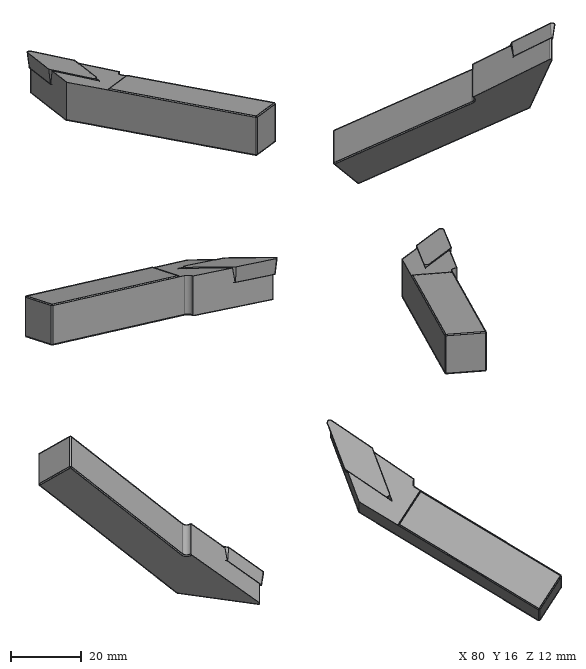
import cadquery as cq
import math

LENGTH = 80.0
SHANK_WIDTH = 12.0
HEIGHT = 12.0
EDGE_CHAMFER = 0.3
HEAD_DROP = EDGE_CHAMFER
RAMP_START = 32.9
LIP_X = 29.7
LIP_FILLET = 1.6
HOLDER_NOSE_RADIUS = 0.4
HEAD_INSET = 0.6

INSCRIBED_DIAMETER = 9.5
INSERT_THICKNESS = 4.7
INSERT_NOSE_RADIUS = 0.8
INSERT_TIP_Y = 16.0
CLEARANCE_ANGLE = 7.0
SIDE_ANGLE = 3.0
POINT_ANGLE = 35.0

FLOOR_Z = HEIGHT - INSERT_THICKNESS
CLEARANCE_INSET = INSERT_THICKNESS * math.tan(math.radians(CLEARANCE_ANGLE))
HALF_POINT = math.radians(POINT_ANGLE / 2)
LEADING_ANGLE = math.radians(SIDE_ANGLE + POINT_ANGLE)
AXIS_ANGLE = math.radians(SIDE_ANGLE) + HALF_POINT

HALF_SHORT_DIAGONAL = INSCRIBED_DIAMETER / 2 / math.cos(HALF_POINT)
HALF_LONG_DIAGONAL = INSCRIBED_DIAMETER / 2 / math.sin(HALF_POINT)
NOSE_TO_CENTRE = HALF_LONG_DIAGONAL - INSERT_NOSE_RADIUS / math.sin(HALF_POINT)
CENTRE_X = INSERT_NOSE_RADIUS + NOSE_TO_CENTRE * math.cos(AXIS_ANGLE)
CENTRE_Y = INSERT_TIP_Y - INSERT_NOSE_RADIUS - NOSE_TO_CENTRE * math.sin(AXIS_ANGLE)


def along_axis(distance):
    """Point on the long diagonal, measured from the insert centre toward the shank."""
    return (CENTRE_X + distance * math.cos(AXIS_ANGLE), CENTRE_Y - distance * math.sin(AXIS_ANGLE))


def across_axis(distance):
    """Point on the short diagonal, measured from the insert centre toward +Y."""
    return (CENTRE_X + distance * math.sin(AXIS_ANGLE), CENTRE_Y + distance * math.cos(AXIS_ANGLE))


def tapered_rhombus():
    """Sharp-cornered insert envelope, narrowing downward by the clearance angle."""
    corners = [
        along_axis(-HALF_LONG_DIAGONAL),
        across_axis(HALF_SHORT_DIAGONAL),
        along_axis(HALF_LONG_DIAGONAL),
        across_axis(-HALF_SHORT_DIAGONAL),
    ]
    return (
        cq.Workplane("XY", origin=(0, 0, HEIGHT))
        .polyline(corners).close()
        .extrude(-INSERT_THICKNESS, taper=CLEARANCE_ANGLE)
    )


def corner_remover(end_sign):
    """Material outside the conical rounding at one acute corner."""
    arc_x, arc_y = along_axis(end_sign * NOSE_TO_CENTRE)
    bottom_radius = INSERT_NOSE_RADIUS - CLEARANCE_INSET
    cone = cq.Workplane(cq.Solid.makeCone(
        bottom_radius, INSERT_NOSE_RADIUS, INSERT_THICKNESS, pnt=(arc_x, arc_y, FLOOR_Z)))

    tangent_distance = INSERT_NOSE_RADIUS * math.sin(HALF_POINT)
    tangent_half_width = INSERT_NOSE_RADIUS * math.cos(HALF_POINT)
    tangent_x, tangent_y = along_axis(end_sign * (NOSE_TO_CENTRE + tangent_distance))
    side_x = tangent_half_width * math.sin(AXIS_ANGLE)
    side_y = tangent_half_width * math.cos(AXIS_ANGLE)
    wedge = (
        cq.Workplane("XY", origin=(0, 0, FLOOR_Z))
        .polyline([
            (arc_x, arc_y),
            (tangent_x + side_x, tangent_y + side_y),
            along_axis(end_sign * HALF_LONG_DIAGONAL),
            (tangent_x - side_x, tangent_y - side_y),
        ]).close()
        .extrude(INSERT_THICKNESS)
    )
    return wedge.cut(cone)


def make_insert():
    return tapered_rhombus().cut(corner_remover(-1)).cut(corner_remover(1))


def holder_outline():
    """Plan outline; the head sides run parallel to the insert sides."""
    half_diagonal = HALF_LONG_DIAGONAL - HEAD_INSET / math.sin(HALF_POINT)
    tip_x, tip_y = along_axis(-half_diagonal)
    lip_y = tip_y - (LIP_X - tip_x) * math.tan(math.radians(SIDE_ANGLE))
    heel_x = tip_x + tip_y / math.tan(LEADING_ANGLE)
    return [
        (tip_x, tip_y),
        (heel_x, 0),
        (LENGTH, 0),
        (LENGTH, SHANK_WIDTH),
        (LIP_X, SHANK_WIDTH),
        (LIP_X, lip_y),
    ]


def head_recess():
    """Space above the lowered head, ending in a short ramp up to the shank."""
    return (
        cq.Workplane("XZ")
        .polyline([
            (0, HEIGHT),
            (0, HEIGHT - HEAD_DROP),
            (RAMP_START, HEIGHT - HEAD_DROP),
            (RAMP_START + HEAD_DROP, HEIGHT),
        ]).close()
        .extrude(-INSERT_TIP_Y)
    )


def make_holder():
    body = cq.Workplane("XY").polyline(holder_outline()).close().extrude(HEIGHT)
    body = body.edges("|Z and <X").fillet(HOLDER_NOSE_RADIUS)
    lip_corner = cq.selectors.NearestToPointSelector((LIP_X, SHANK_WIDTH, HEIGHT / 2))
    body = body.edges("|Z").edges(lip_corner).fillet(LIP_FILLET)
    body = body.edges("|X or (>X)").chamfer(EDGE_CHAMFER)
    return body.cut(head_recess()).cut(tapered_rhombus())


holder = make_holder()
insert = make_insert()
result = cq.Compound.makeCompound([holder.solids().val(), insert.solids().val()])